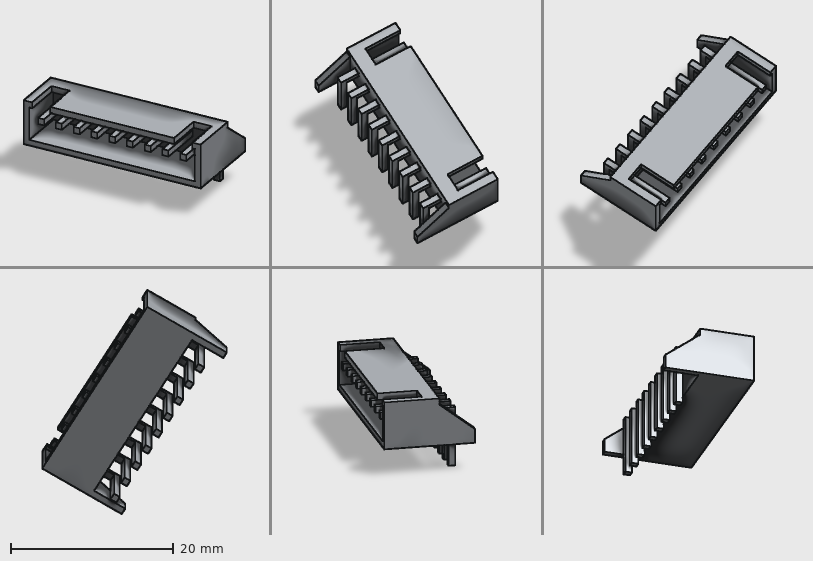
import cadquery as cq

length = 24.9
box_depth = 7.0
box_height = 6.1
wall = 0.8
roof = 0.85
back_wall = 0.8

slot_width = 2.55
slot_depth = 5.0

wing_length = 4.5
wing_thickness = 0.85
wing_back_height = 1.8
wing_front_height = 5.28

pin_count = 9
pin_row_span = 20.0
pin_size = 0.85
pin_top = 4.15
pin_reach = 2.5
tail_length = 3.4

wing_end = box_depth + wing_length
pin_back = box_depth + pin_reach
roof_underside = box_height - roof
cavity_depth = box_depth - back_wall
pin_pitch = pin_row_span / (pin_count - 1)
pin_bottom = pin_top - pin_size
pin_positions = [(i - (pin_count - 1) / 2) * pin_pitch for i in range(pin_count)]


def block(x_min, x_max, y_min, y_max, z_min, z_max):
    """Axis-aligned block between the given limits."""
    return cq.Workplane("XY").box(
        x_max - x_min, y_max - y_min, z_max - z_min, centered=False
    ).translate((x_min, y_min, z_min))


def side_profile(points, x_center, thickness):
    """Plate with a YZ outline, centred on x_center."""
    return (
        cq.Workplane("YZ", origin=(x_center, 0, 0))
        .polyline(points)
        .close()
        .extrude(thickness / 2, both=True)
    )


def make_wing(x_center):
    """End wing whose top edge slopes down towards the back."""
    outline = [
        (box_depth, 0),
        (wing_end, 0),
        (wing_end, wing_back_height),
        (box_depth, wing_front_height),
    ]
    return side_profile(outline, x_center, wing_thickness)


def make_pin(x_center):
    """L-shaped pin: a level contact through the back wall and a tail bent downwards."""
    outline = [
        (0, pin_top),
        (pin_back, pin_top),
        (pin_back, -tail_length),
        (pin_back - pin_size, -tail_length),
        (pin_back - pin_size, pin_bottom),
        (0, pin_bottom),
    ]
    return side_profile(outline, x_center, pin_size)


def make_housing():
    """Open-fronted box with roof slots, end wings and a hole for each pin."""
    half = length / 2
    housing = block(-half, half, 0, box_depth, 0, box_height)

    cavity_half = half - wall
    housing = housing.cut(
        block(-cavity_half, cavity_half, 0, cavity_depth, wall, roof_underside)
    )

    for x in (pin_positions[0], pin_positions[-1]):
        slot_left = x - slot_width / 2
        slot_right = x + slot_width / 2
        housing = housing.cut(block(slot_left, slot_right, 0, slot_depth, roof_underside, box_height))

    wing_x = half - wing_thickness / 2
    for x in (-wing_x, wing_x):
        housing = housing.union(make_wing(x))

    for x in pin_positions:
        housing = housing.cut(make_pin(x))
    return housing


housing = make_housing()
pins = [make_pin(x) for x in pin_positions]

result = cq.Compound.makeCompound([housing.val(), *[pin.val() for pin in pins]])